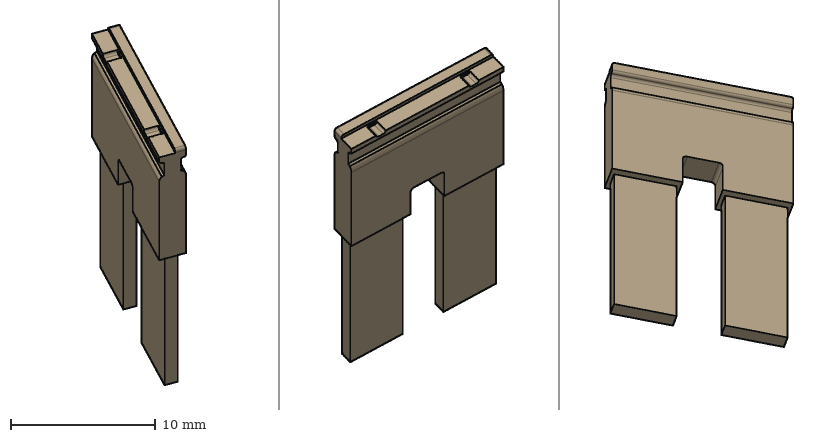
import cadquery as cq
import math

width = 13.05
thickness = 2.0
height = 23.02

ridge_depth = 0.8
ridge_height = 0.3
ridge_corner_radius = 0.23
head_edge_drop = 0.71
head_round_height = 0.4
neck_thickness = 1.25
shoulder_drop = 2.7
shoulder_radius = 0.6
shoulder_angle = math.radians(47)
shoulder_slope_rise = 0.1
housing_height = 10.35

slot_width = 2.88
slot_height = 2.58
slot_corner_radius = 0.3

leg_width = 4.51
leg_thickness = 1.0
leg_spacing = 7.99

notch_width = 0.83
notch_length = 1.05
notch_depth = 0.219

half_thickness = thickness / 2
housing_bottom = height - housing_height
leg_centers = (-leg_spacing / 2, leg_spacing / 2)


def make_housing():
    """Extrude the T-headed, necked cross-section along X."""
    neck_half = neck_thickness / 2
    ledge_z = height - ridge_height
    ridge_front = half_thickness - ridge_depth

    recess = half_thickness - neck_half
    round_radius = (recess**2 + head_round_height**2) / (4 * recess)
    head_z = height - head_edge_drop
    round_mid_z = head_z - head_round_height / 2
    neck_top_z = head_z - head_round_height
    round_mid_y = half_thickness - recess / 2

    shoulder_z = height - shoulder_drop
    arc_center_y = half_thickness - shoulder_radius
    arc_top_y = arc_center_y + shoulder_radius * math.cos(shoulder_angle)
    arc_top_z = shoulder_z + shoulder_radius * math.sin(shoulder_angle)
    arc_mid_y = arc_center_y + shoulder_radius * math.cos(shoulder_angle / 2)
    arc_mid_z = shoulder_z + shoulder_radius * math.sin(shoulder_angle / 2)
    neck_bottom_z = arc_top_z + shoulder_slope_rise

    profile = (
        cq.Workplane("YZ")
        .moveTo(half_thickness, housing_bottom)
        .lineTo(half_thickness, shoulder_z)
        .threePointArc((arc_mid_y, arc_mid_z), (arc_top_y, arc_top_z))
        .lineTo(neck_half, neck_bottom_z)
        .lineTo(neck_half, neck_top_z)
        .radiusArc((round_mid_y, round_mid_z), round_radius)
        .radiusArc((half_thickness, head_z), -round_radius)
        .lineTo(half_thickness, height)
        .lineTo(ridge_front, height)
        .lineTo(ridge_front, ledge_z)
        .lineTo(-half_thickness, ledge_z)
        .lineTo(-half_thickness, head_z)
        .radiusArc((-round_mid_y, round_mid_z), -round_radius)
        .radiusArc((-neck_half, neck_top_z), round_radius)
        .lineTo(-neck_half, neck_bottom_z)
        .lineTo(-arc_top_y, arc_top_z)
        .threePointArc((-arc_mid_y, arc_mid_z), (-half_thickness, shoulder_z))
        .lineTo(-half_thickness, housing_bottom)
        .close()
    )
    housing = profile.extrude(width / 2, both=True)
    return housing.faces(">Z").edges("|Y").fillet(ridge_corner_radius)


def make_slot():
    """Cutter for the slot open at the bottom of the housing."""
    return (
        cq.Workplane("XY", origin=(0, 0, housing_bottom))
        .box(slot_width, thickness, slot_height, centered=(True, True, False))
        .faces(">Z").edges("|Y").fillet(slot_corner_radius)
    )


def make_notch(x):
    """Cutter for a notch whose side walls curve into a flat floor."""
    ledge_z = height - ridge_height
    half_width = notch_width / 2
    half_floor = half_width - notch_depth
    floor_z = ledge_z - notch_depth
    return (
        cq.Workplane("XZ", origin=(x, -half_thickness, 0))
        .moveTo(-half_width, ledge_z)
        .radiusArc((-half_floor, floor_z), -notch_depth)
        .lineTo(half_floor, floor_z)
        .radiusArc((half_width, ledge_z), -notch_depth)
        .close()
        .extrude(-notch_length)
    )


def make_leg(x):
    return cq.Workplane("XY", origin=(x, 0, 0)).box(
        leg_width, leg_thickness, housing_bottom, centered=(True, True, False)
    )


result = make_housing().cut(make_slot())
for leg_x in leg_centers:
    result = result.cut(make_notch(leg_x)).union(make_leg(leg_x))